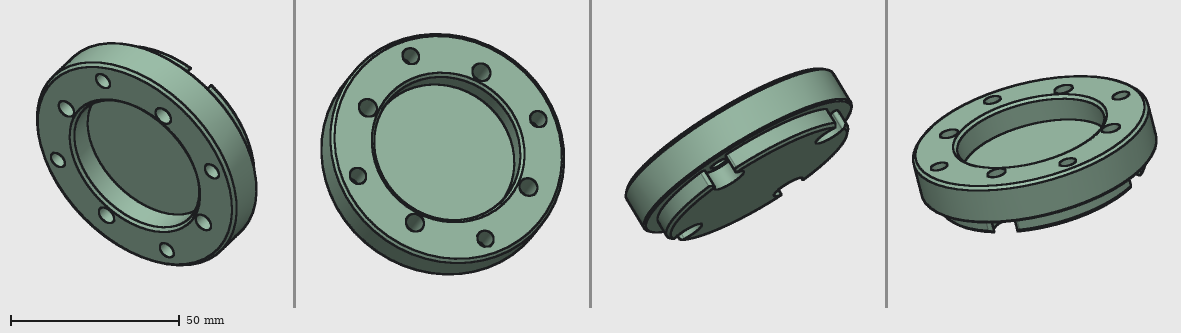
import cadquery as cq
import math

flange_radius = 36.0
boss_radius = 63.0 / 2
total_length = 18.0
boss_height = total_length / 3
flange_length = total_length - boss_height
edge_chamfer = 1.0
flange_back_chamfer = edge_chamfer / 2

recess_radius = 45.0 / 2
recess_depth = 8.0

hole_count = 4
pitch_angle = 360 / hole_count
clearance_diameter = 5.55
clearance_ring_radius = 26.7
clearance_start_angle = 67.5
blind_diameter = 5.05
blind_ring_radius = 30.0
blind_start_angle = 22.5
blind_depth = 10.0

pocket_radius = 10.0 / 2
pocket_mouth_fillet = 1.0


def make_body():
    """Revolve the half section, given as (Y, radius), including chamfers and recess."""
    section = [
        (recess_depth, 0),
        (recess_depth, recess_radius),
        (edge_chamfer, recess_radius),
        (0, recess_radius + edge_chamfer),
        (0, flange_radius - edge_chamfer),
        (edge_chamfer, flange_radius),
        (flange_length - flange_back_chamfer, flange_radius),
        (flange_length, flange_radius - flange_back_chamfer),
        (flange_length, boss_radius),
        (total_length - edge_chamfer, boss_radius),
        (total_length, boss_radius - edge_chamfer),
        (total_length, 0),
    ]
    return cq.Workplane("YZ").polyline(section).close().revolve(360, (0, 0), (1, 0))


def make_holes(ring_radius, start_angle, diameter, depth):
    """Ring of cylinders going back (+Y) from the front face."""
    return (
        cq.Workplane("XZ")
        .polarArray(ring_radius, start_angle, 360, hole_count)
        .circle(diameter / 2)
        .extrude(-depth)
    )


def make_pocket():
    """Pocket centred on the X axis; rounded lips blend its wall into the boss wall."""
    lip_ring_radius = boss_radius - pocket_mouth_fillet
    lip_distance = pocket_radius + pocket_mouth_fillet
    lip_x = (lip_ring_radius**2 + clearance_ring_radius**2 - lip_distance**2) / (2 * clearance_ring_radius)
    lip_z = math.sqrt(lip_ring_radius**2 - lip_x**2)

    pocket_touch_angle = math.atan2(-lip_z, clearance_ring_radius - lip_x)
    wall_touch_angle = math.atan2(lip_z, lip_x)
    middle_angle = (pocket_touch_angle + wall_touch_angle) / 2

    def lip_point(angle, side):
        """Point on the upper (side 1) or lower (side -1) lip."""
        x = lip_x + pocket_mouth_fillet * math.cos(angle)
        z = lip_z + pocket_mouth_fillet * math.sin(angle)
        return (x, side * z)

    pocket_inner_point = (clearance_ring_radius - pocket_radius, 0)
    wall_touch_z = lip_point(wall_touch_angle, 1)[1]
    return (
        cq.Workplane("XZ", origin=(0, flange_length, 0))
        .moveTo(flange_radius, wall_touch_z)
        .lineTo(*lip_point(wall_touch_angle, 1))
        .threePointArc(lip_point(middle_angle, 1), lip_point(pocket_touch_angle, 1))
        .threePointArc(pocket_inner_point, lip_point(pocket_touch_angle, -1))
        .threePointArc(lip_point(middle_angle, -1), lip_point(wall_touch_angle, -1))
        .lineTo(flange_radius, -wall_touch_z)
        .close()
        .extrude(-boss_height)
    )


result = make_body()
result = result.cut(make_holes(clearance_ring_radius, clearance_start_angle, clearance_diameter, total_length))
result = result.cut(make_holes(blind_ring_radius, blind_start_angle, blind_diameter, blind_depth))

pocket = make_pocket()
for i in range(hole_count):
    pocket_angle = clearance_start_angle + i * pitch_angle
    result = result.cut(pocket.rotate((0, 0, 0), (0, 1, 0), -pocket_angle))